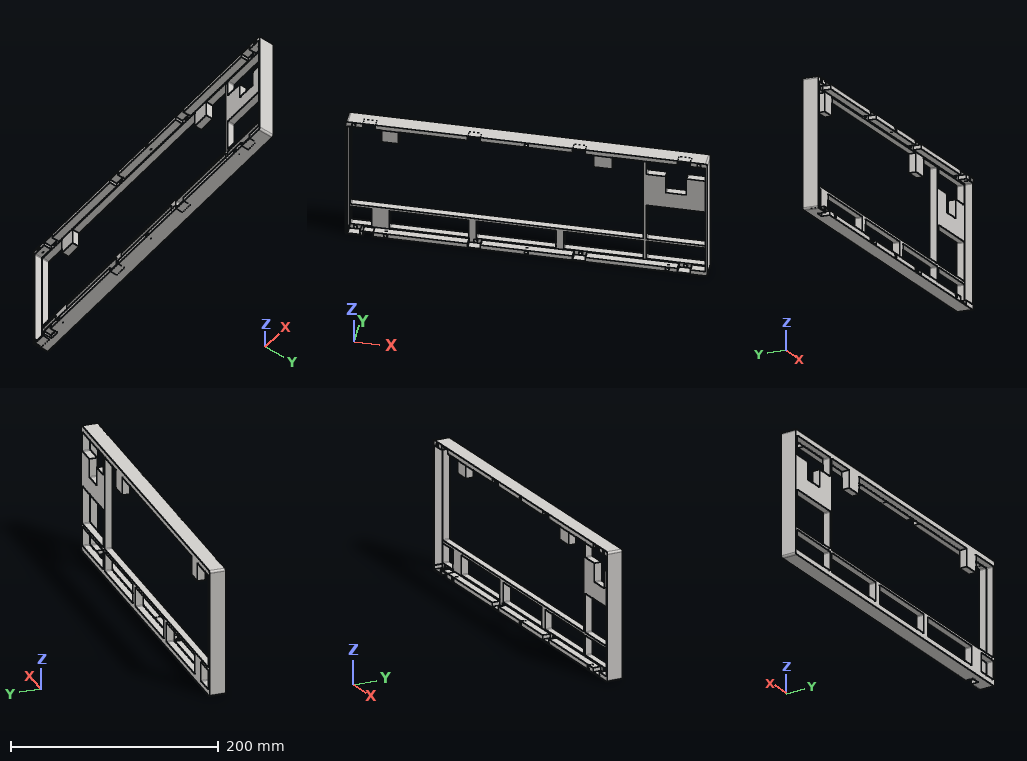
import cadquery as cq

length = 355.3
depth = 16.7
height = 133.5
corner_radius = 2.0

rear_depth = 8.0
front_depth = depth - rear_depth
side_wall = 2.0
rail_height = 5.5
ledge = 1.0
inner_radius = 0.7

bar_width = 3.2
crossbar_bottom = -40.0
crossbar_top = crossbar_bottom + bar_width
upright_left = 113.0
upright_right = upright_left + bar_width

stems = [(-153.5, -136.5), (-58.3, -50.8), (27.5, 34.8)]

hanging_blocks = [(-144.0, -127.2), (64.3, 82.5)]
block_bottom = 41.2

panel_bottom = 3.0
panel_top = 40.0
panel_slot_left = 135.0
panel_slot_right = 155.2
panel_slot_floor = 21.0

notch_width = 12.5
notch_skin = 1.0
inner_screw_x = 51.5
outer_screw_x = 154.5
corner_screw_x = 169.5
upper_notches = [-outer_screw_x, -inner_screw_x, inner_screw_x, outer_screw_x]
lower_notches = [-corner_screw_x, -inner_screw_x, inner_screw_x, outer_screw_x]

hole_radius = 1.8
hole_edge_distance = 3.0
notch_hole_edge_distance = 3.2
hole_depth = 5.5
hole_tip = 1.0
lower_rim_hole_x = 138.2
upper_rim_holes = [-corner_screw_x, 0.0, corner_screw_x]
lower_rim_holes = [-lower_rim_hole_x, 0.0, lower_rim_hole_x]

cable_slot_x = -155.5
cable_slot_top_width = 10.3
cable_slot_bottom_width = 9.2
cable_slot_roof = 0.7

front_y = -depth / 2
rear_layer_y = front_y + front_depth
back_y = depth / 2
half_height = height / 2
pocket_x = length / 2 - side_wall
pocket_z = half_height - rail_height
window_x = pocket_x - ledge
window_z = pocket_z - ledge


def block(x_range, y_range, z_range):
    """Box given by its limits along X, Y and Z."""
    (x0, x1), (y0, y1), (z0, z1) = x_range, y_range, z_range
    return cq.Workplane("XY").box(x1 - x0, y1 - y0, z1 - z0, centered=False).translate((x0, y0, z0))


def rear_window(x0, x1, z0, z1):
    """Rounded cutter that opens the rear layer."""
    return block((x0, x1), (rear_layer_y, back_y), (z0, z1)).edges("|Y").fillet(inner_radius)


def rear_block(x0, x1, z0, z1):
    """Solid block filling the depth of the rear layer."""
    return block((x0, x1), (rear_layer_y, back_y), (z0, z1))


def blind_hole(x, start_y, z):
    """Cutter for a hole drilled toward +Y that ends in a shallow cone."""
    profile = [(0, 0), (hole_radius, 0), (hole_radius, hole_depth), (0, hole_depth + hole_tip)]
    drill = cq.Workplane("XY").polyline(profile).close().revolve(360, (0, 0, 0), (0, 1, 0))
    return drill.translate((x, start_y, z))


def make_frame():
    frame = block((-length / 2, length / 2), (front_y, back_y), (-half_height, half_height))
    frame = frame.edges("|Y").fillet(corner_radius)
    pocket = block((-pocket_x, pocket_x), (front_y, rear_layer_y), (-pocket_z, pocket_z))
    return frame.cut(pocket.edges("|Y").fillet(inner_radius))


def cut_windows(frame):
    frame = frame.cut(rear_window(-window_x, upright_left, crossbar_top, window_z))
    frame = frame.cut(rear_window(upright_right, window_x, crossbar_top, panel_bottom))
    frame = frame.cut(rear_window(upright_right, window_x, panel_top, window_z))
    slot_top = panel_top + ledge + inner_radius
    slot = rear_window(panel_slot_left, panel_slot_right, panel_slot_floor, slot_top)
    frame = frame.cut(slot)

    lefts = [-window_x] + [right for _, right in stems] + [upright_right]
    rights = [left for left, _ in stems] + [upright_left, window_x]
    for left, right in zip(lefts, rights):
        frame = frame.cut(rear_window(left, right, -window_z, crossbar_bottom))
    return frame


def add_hanging_blocks(frame):
    for left, right in hanging_blocks:
        frame = frame.union(rear_block(left, right, block_bottom, pocket_z))
    return frame


def cut_screw_notches(frame):
    for side, places in ((1, upper_notches), (-1, lower_notches)):
        z_range = sorted((side * pocket_z, side * (half_height - notch_skin)))
        for x in places:
            left = max(x - notch_width / 2, -pocket_x)
            frame = frame.cut(block((left, x + notch_width / 2), (front_y, rear_layer_y), z_range))
            hole_z = side * (half_height - notch_hole_edge_distance)
            frame = frame.cut(blind_hole(x, rear_layer_y, hole_z))
    return frame


def cut_rim_holes(frame):
    for side, places in ((1, upper_rim_holes), (-1, lower_rim_holes)):
        for x in places:
            frame = frame.cut(blind_hole(x, front_y, side * (half_height - hole_edge_distance)))
    return frame


def cut_cable_slot(frame):
    half_top = cable_slot_top_width / 2
    half_bottom = cable_slot_bottom_width / 2
    slot_top = -pocket_z - cable_slot_roof
    outline = [
        (cable_slot_x - half_bottom, -half_height),
        (cable_slot_x + half_bottom, -half_height),
        (cable_slot_x + half_top, slot_top),
        (cable_slot_x - half_top, slot_top),
    ]
    slot = cq.Workplane("XZ", origin=(0, rear_layer_y, 0)).polyline(outline).close().extrude(front_depth)
    return frame.cut(slot)


frame = make_frame()
frame = cut_windows(frame)
frame = add_hanging_blocks(frame)
frame = cut_screw_notches(frame)
frame = cut_rim_holes(frame)
result = cut_cable_slot(frame)